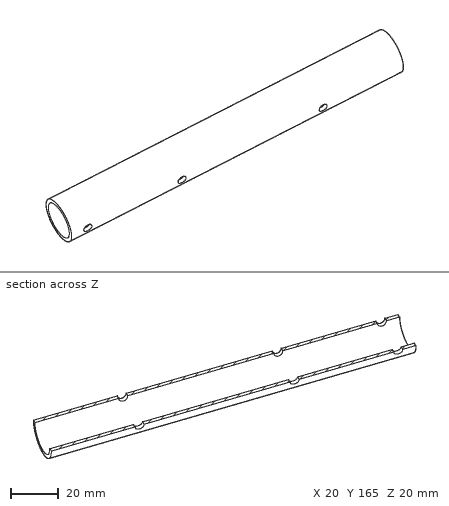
import cadquery as cq

length = 165.0
outer_diameter = 20.0
wall = 1.8
inner_diameter = outer_diameter - 2 * wall

hole_diameter = 4.0
hole_distances = (8.1, 55.0, 125.0)

front_end = -length / 2

tube = (
    cq.Workplane("XZ", origin=(0, front_end, 0))
    .circle(outer_diameter / 2)
    .circle(inner_diameter / 2)
    .extrude(-length)
)

hole_centres = [(front_end + distance, 0) for distance in hole_distances]
holes = (
    cq.Workplane("YZ")
    .pushPoints(hole_centres)
    .circle(hole_diameter / 2)
    .extrude(outer_diameter, both=True)
)

result = tube.cut(holes)